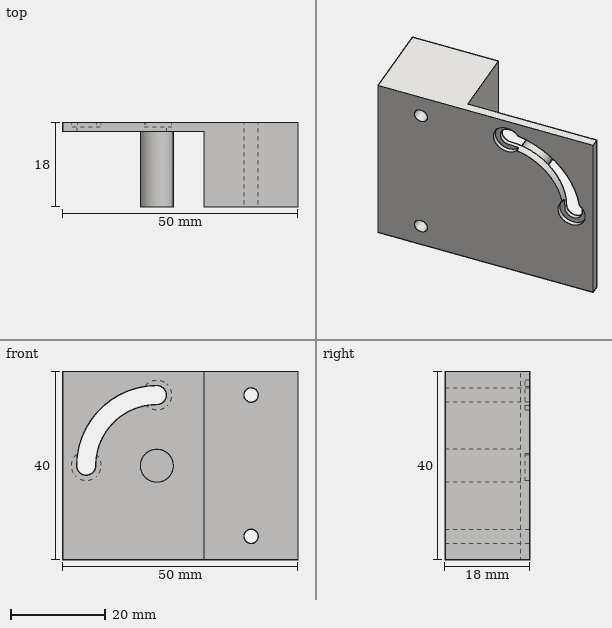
import cadquery as cq
import math

length = 50.0
height = 40.0
depth = 18.0
plate_thickness = 2.0
block_length = 20.0

pin_diameter = 7.0
pin_x = 20.0
pin_z = height / 2

slot_radius = 15.0
slot_width = 4.0
slot_start_angle = 90
slot_end_angle = 180
slot_middle_angle = (slot_start_angle + slot_end_angle) / 2

recess_diameter = 6.3
recess_depth = 1.0

hole_diameter = 3.0
hole_edge_distance = 5.0
hole_x = length - block_length / 2


def cylinder_along_y(x, z, diameter, start_y=0):
    """Cylinder centred on (x, z), running from start_y to the back face."""
    base = cq.Workplane("XZ", origin=(x, start_y, z))
    return base.circle(diameter / 2).extrude(start_y - depth)


def slot_point(radius, angle):
    """Point at a polar position about the pin axis, angle in degrees."""
    turn = math.radians(angle)
    return (pin_x + radius * math.cos(turn), pin_z + radius * math.sin(turn))


def curved_slot():
    """Quarter-circle slot with round ends, running from above the pin to its -X side."""
    outer = slot_radius + slot_width / 2
    inner = slot_radius - slot_width / 2
    end_x, end_z = slot_point(slot_radius, slot_end_angle)
    start_x, start_z = slot_point(slot_radius, slot_start_angle)
    return (
        cq.Workplane("XZ")
        .moveTo(*slot_point(outer, slot_start_angle))
        .threePointArc(slot_point(outer, slot_middle_angle), slot_point(outer, slot_end_angle))
        .threePointArc((end_x, end_z - slot_width / 2), slot_point(inner, slot_end_angle))
        .threePointArc(slot_point(inner, slot_middle_angle), slot_point(inner, slot_start_angle))
        .threePointArc((start_x + slot_width / 2, start_z), slot_point(outer, slot_start_angle))
        .close()
        .extrude(-depth)
    )


plate = cq.Workplane("XY").box(length, plate_thickness, height, centered=False)
plate = plate.translate((0, depth - plate_thickness, 0)).cut(curved_slot())
for end_angle in (slot_start_angle, slot_end_angle):
    recess_x, recess_z = slot_point(slot_radius, end_angle)
    plate = plate.cut(cylinder_along_y(recess_x, recess_z, recess_diameter, depth - recess_depth))

block = cq.Workplane("XY").box(block_length, depth, height, centered=False)
block = block.translate((length - block_length, 0, 0))

pin = cylinder_along_y(pin_x, pin_z, pin_diameter)

result = plate.union(block).union(pin)

for hole_z in (hole_edge_distance, height - hole_edge_distance):
    result = result.cut(cylinder_along_y(hole_x, hole_z, hole_diameter))